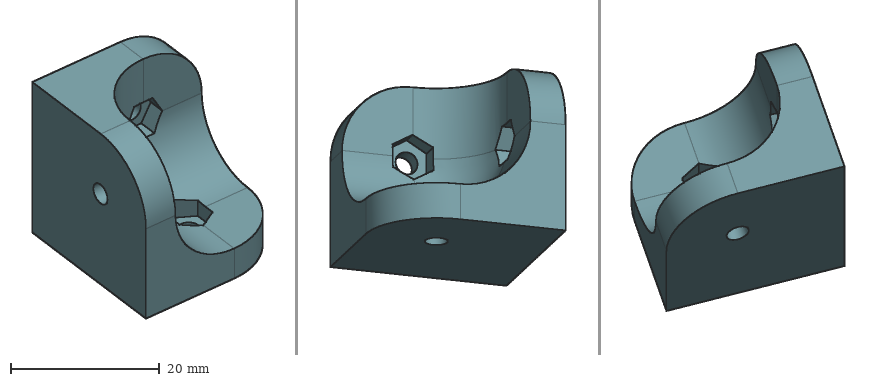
import cadquery as cq

size = 25.0
wall = 5.0
round_radius = 10.0
hole_diameter = 3.1
nut_across_corners = 6.5
nut_depth = 2.5

hole_position = size - round_radius
cavity_size = size - wall

floor_plane = cq.Plane(origin=(0, 0, 0), xDir=(1, 0, 0), normal=(0, 0, 1))
side_plane = cq.Plane(origin=(0, 0, 0), xDir=(0, 1, 0), normal=(1, 0, 0))
back_plane = cq.Plane(origin=(0, 0, 0), xDir=(0, 0, 1), normal=(0, 1, 0))
wall_planes = (floor_plane, side_plane, back_plane)


def rounded_wall(plane):
    """Square plate with its corner farthest from the origin rounded."""
    return (
        cq.Workplane(plane)
        .moveTo(0, 0)
        .lineTo(size, 0)
        .lineTo(size, hole_position)
        .radiusArc((hole_position, size), -round_radius)
        .lineTo(0, size)
        .close()
        .extrude(size)
    )


def inner_cavity():
    """Box of open space whose three edges meeting at the inner corner are rounded."""
    box = cq.Workplane("XY").box(cavity_size, cavity_size, cavity_size, centered=False)
    inner_edges = box.edges("(<X and <Y) or (<X and <Z) or (<Y and <Z)")
    return inner_edges.fillet(round_radius).translate((wall, wall, wall))


def screw_cut(plane):
    """Through hole with a hexagonal nut recess opening into the cavity."""
    center = cq.Workplane(plane).center(hole_position, hole_position)
    hole = center.circle(hole_diameter / 2).extrude(hole_position)
    recess = (
        center.workplane(offset=wall - nut_depth)
        .polygon(6, nut_across_corners)
        .extrude(hole_position - wall + nut_depth)
    )
    return hole.union(recess)


result = rounded_wall(floor_plane)
for wall_plane in (side_plane, back_plane):
    result = result.intersect(rounded_wall(wall_plane))
result = result.cut(inner_cavity())
for wall_plane in wall_planes:
    result = result.cut(screw_cut(wall_plane))